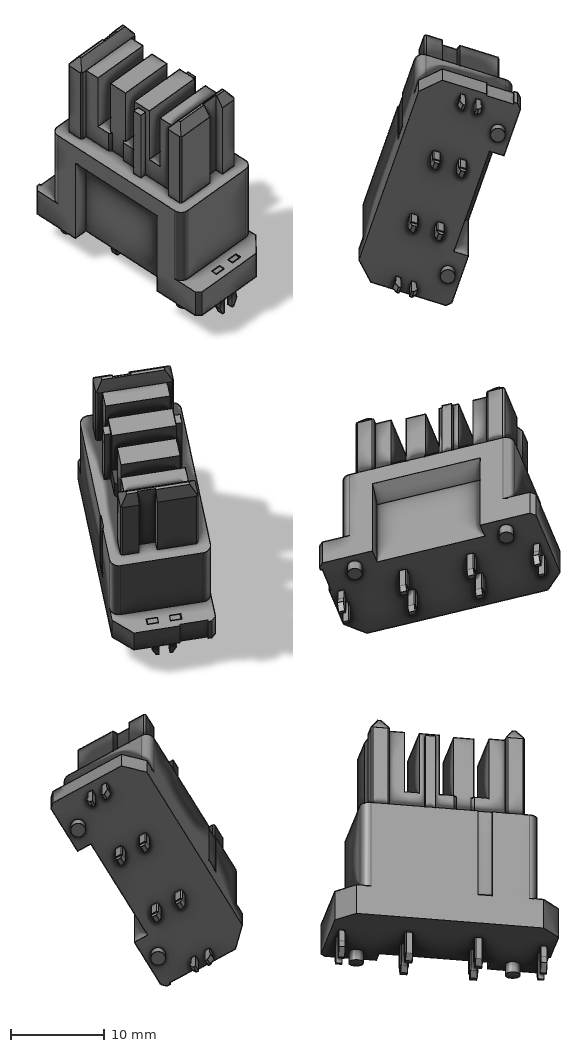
import cadquery as cq


pin_tip_z = -3.3
leg_tip_z = -3.08
peg_tip_z = -1.25
flange_top = 3.4
body_top = 13.35
slot_floor = 15.9
rib_top = 22.45
blade_top = 22.95
post_top = 24.2

flange_length = 24.36
depth = 11.0
rear_corner = 2.0
front_corner = 0.5
body_length = 19.25
body_radius = 1.0
end_notch_depth = 0.2
end_notch_rear = -1.55
end_notch_front = -4.6
rear_groove_x = -3.82
rear_groove_width = 1.55
rear_groove_depth = 0.1

pocket_width = 12.1
pocket_depth = 1.65
pocket_front_height = 10.95
pocket_rear_height = 9.32

post_x = 7.35
post_width = 2.04
post_depth = 8.47
post_chamfer = 0.2
ridge_width = 0.33
ridge_depth = 6.88
post_notch_depth = 1.0
post_notch_width = 1.98
post_notch_y = 1.25

contact_pitch = 3.8
blade_half = 3.52
slot_width = 1.6
slot_centers = [-contact_pitch, 0, contact_pitch]
tower_width = contact_pitch - slot_width
relief_depth = 0.3
relief_x = -contact_pitch / 2
rib_x = contact_pitch / 2
rib_width = 1.07

pin_x = contact_pitch
pin_y = 1.48
pin_size = 0.94
pin_chamfer = 0.15
pin_taper_z = -2.5
pin_tip_width = 0.75
pin_tip_depth = 0.47
leg_x = 11.0
leg_thickness = 0.65
leg_inner = 0.6
leg_outer = 1.15
leg_bulge = 1.32
leg_bulge_top = -1.26
leg_bulge_low = -2.04
leg_tip_outer = 0.88
leg_recess_inner = 0.65
leg_recess_outer = 1.9
leg_recess_depth = 0.08
peg_x = 8.52
peg_y = -4.0
peg_diameter = 1.57


def block(x0, x1, y0, y1, z0, z1):
    """Box given by its limits along each axis."""
    return cq.Workplane("XY").box(x1 - x0, y1 - y0, z1 - z0, centered=False).translate((x0, y0, z0))


def centered_block(x, width, y0, y1, z0, z1):
    """Box centred on x, with its other limits given."""
    return block(x - width / 2, x + width / 2, y0, y1, z0, z1)


def make_flange():
    flange = cq.Workplane("XY").box(flange_length, depth, flange_top, centered=(True, True, False))
    flange = flange.edges("|Z and >Y").chamfer(rear_corner)
    flange = flange.edges("|Z and <Y").chamfer(front_corner)
    end = -flange_length / 2
    return flange.cut(block(end, end + end_notch_depth, end_notch_front, end_notch_rear, 0, flange_top))


def make_body():
    body = cq.Workplane("XY").box(body_length, depth, body_top, centered=(True, True, False))
    body = body.edges("|Z").fillet(body_radius)
    rear = depth / 2
    groove = centered_block(
        rear_groove_x, rear_groove_width, rear - rear_groove_depth, rear, flange_top, body_top
    )
    return body.cut(groove)


def make_pocket():
    front = -depth / 2
    rear = front + pocket_depth
    profile = [(front, 0), (rear, 0), (rear, pocket_rear_height), (front, pocket_front_height)]
    return cq.Workplane("YZ").polyline(profile).close().extrude(pocket_width / 2, both=True)


def make_post(side):
    """Post with a hipped top and a notch down its outer face; side is -1 or +1."""
    post = cq.Workplane("XY").box(post_width, post_depth, post_top - body_top, centered=(True, True, False))
    post = post.edges("|Z").chamfer(post_chamfer).translate((0, 0, body_top))
    shaft = cq.Workplane("XY").workplane(offset=body_top).rect(post_width, post_depth)
    envelope = shaft.extrude(blade_top - body_top)
    roof = (
        cq.Workplane("XY").workplane(offset=blade_top).rect(post_width, post_depth)
        .workplane(offset=post_top - blade_top).rect(ridge_width, ridge_depth).loft()
    )
    post = post.intersect(envelope.union(roof))
    notch_x = side * (post_width - post_notch_depth) / 2
    notch = centered_block(
        notch_x, post_notch_depth,
        post_notch_y - post_notch_width / 2, post_notch_y + post_notch_width / 2, body_top, post_top
    )
    return post.cut(notch).translate((side * post_x, 0, 0))


def make_relief(face):
    """Material removed from the blade at the relieved tower; face is -1 front or +1 rear."""
    surface = face * blade_half
    floor = face * (blade_half - relief_depth)
    half = tower_width / 2
    foot = [
        (relief_x - half, surface), (relief_x + half, surface),
        (relief_x + half - relief_depth, floor), (relief_x - half + relief_depth, floor),
    ]
    lower = cq.Workplane("XY").workplane(offset=body_top).polyline(foot).close()
    lower = lower.extrude(slot_floor - body_top)
    upper = centered_block(
        relief_x, tower_width, min(surface, floor), max(surface, floor), slot_floor, blade_top
    )
    return lower.union(upper)


def make_blade():
    blade = block(-post_x, post_x, -blade_half, blade_half, body_top, blade_top)
    for face in (-1, 1):
        blade = blade.cut(make_relief(face))

    for x in slot_centers:
        blade = blade.cut(centered_block(x, slot_width, -depth / 2, depth / 2, slot_floor, blade_top))
    return blade.union(centered_block(rib_x, rib_width, -post_depth / 2, post_depth / 2, body_top, rib_top))


def make_pin(x, y):
    """Square pin with bevelled corners and a tapered tip."""
    shank = cq.Workplane("XY").rect(pin_size, pin_size).extrude(pin_taper_z)
    shank = shank.edges("|Z").chamfer(pin_chamfer)
    tip = (
        cq.Workplane("XY").workplane(offset=pin_taper_z)
        .rect(pin_tip_width, pin_size)
        .workplane(offset=pin_tip_z - pin_taper_z).rect(pin_tip_width, pin_tip_depth).loft()
    )
    return shank.union(tip).translate((x, y, 0))


def make_leg(x, side):
    """Flat retention leg with a bulge on its outer edge."""
    profile = [
        (leg_inner, 0), (leg_outer, 0), (leg_outer, leg_bulge_top),
        (leg_bulge, leg_bulge_low), (leg_tip_outer, leg_tip_z), (leg_inner, leg_tip_z),
    ]
    outline = [(side * y, z) for y, z in profile]
    leg = cq.Workplane("YZ").polyline(outline).close().extrude(leg_thickness / 2, both=True)
    return leg.translate((x, 0, 0))


def make_leg_recess(x, side):
    """Shallow recess in the flange top above a leg, with a sloped outer end."""
    floor = flange_top - leg_recess_depth
    profile = [
        (leg_recess_inner, flange_top), (leg_recess_outer, flange_top),
        (leg_recess_outer - leg_recess_depth, floor), (leg_recess_inner, floor),
    ]
    outline = [(side * y, z) for y, z in profile]
    recess = cq.Workplane("YZ").polyline(outline).close().extrude(leg_thickness / 2, both=True)
    return recess.translate((x, 0, 0))


result = make_flange().union(make_body()).cut(make_pocket()).union(make_blade())

for x_side in (-1, 1):
    result = result.union(make_post(x_side))
    peg = cq.Workplane("XY").center(x_side * peg_x, peg_y).circle(peg_diameter / 2).extrude(peg_tip_z)
    result = result.union(peg)
    for y_side in (-1, 1):
        result = result.union(make_pin(x_side * pin_x, y_side * pin_y))
        result = result.union(make_leg(x_side * leg_x, y_side))
        result = result.cut(make_leg_recess(x_side * leg_x, y_side))